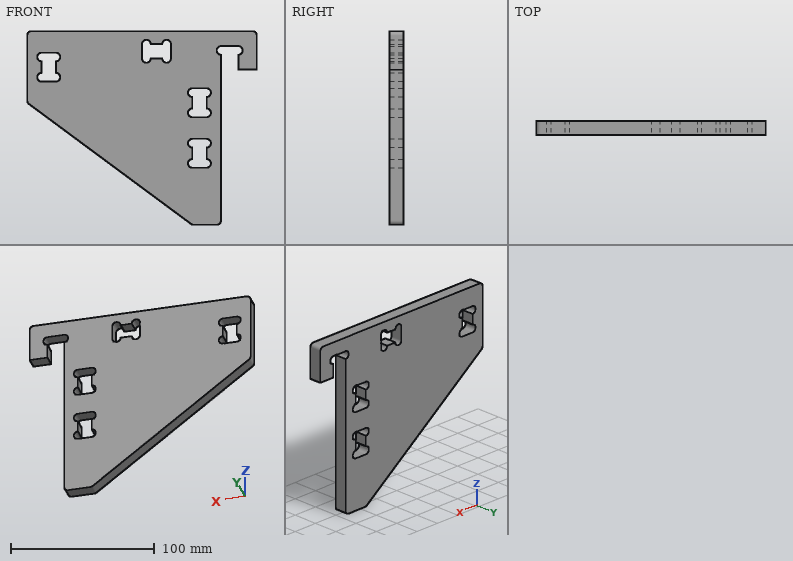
import cadquery as cq

LENGTH = 160.0
HEIGHT = 135.0
THICKNESS = 10.0
CORNER_RADIUS = 3.0

LEFT_EDGE_HEIGHT = 50.0
BODY_WIDTH = 135.0
SLOPE_FOOT_X = 115.0

HOOK_GAP = 12.0
HOOK_DEPTH = 26.9
HOOK_GAP_TOP = 10.5

RELIEF_DIAMETER = 6.0
SLOT_LENGTH = 20.0
SLOT_WIDTH = THICKNESS
VERTICAL_SLOT_CENTERS = [(15.0, -25.1), (120.0, -50.0), (120.0, -85.1)]
HORIZONTAL_SLOT_CENTER = (90.0, -14.0)


def extrude_through(sketch):
    """Extrude an XZ profile through the plate, toward +Y."""
    return sketch.extrude(-THICKNESS)


def make_plate():
    outline = [
        (0, 0),
        (LENGTH, 0),
        (LENGTH, -HOOK_DEPTH),
        (BODY_WIDTH, -HOOK_DEPTH),
        (BODY_WIDTH, -HEIGHT),
        (SLOPE_FOOT_X, -HEIGHT),
        (0, -LEFT_EDGE_HEIGHT),
    ]
    plate = extrude_through(cq.Workplane("XZ").polyline(outline).close())
    plate = plate.edges("|Y and (>Z or <Z or <X)").fillet(CORNER_RADIUS)
    return plate


def relief_bar(center_x, center_z, gap):
    """Round-ended bar whose end centers lie on the two sides of a gap."""
    bar = cq.Workplane("XZ").center(center_x, center_z).slot2D(gap + RELIEF_DIAMETER, RELIEF_DIAMETER)
    return extrude_through(bar)


def make_slot(center_x, center_z):
    """Upright slot with a relief bar at its top and its bottom."""
    slot = extrude_through(cq.Workplane("XZ").center(center_x, center_z).rect(SLOT_WIDTH, SLOT_LENGTH))
    relief_offset = (SLOT_LENGTH - RELIEF_DIAMETER) / 2
    for offset in (-relief_offset, relief_offset):
        slot = slot.union(relief_bar(center_x, center_z + offset, SLOT_WIDTH))
    return slot


def make_horizontal_slot(center_x, center_z):
    """The same slot, turned a quarter about Y."""
    slot = make_slot(0, 0).rotate((0, 0, 0), (0, 1, 0), 90)
    return slot.translate((center_x, 0, center_z))


def make_hook_gap():
    """Gap between body and hook, open at the bottom, with a relief bar at its top."""
    center_x = BODY_WIDTH + HOOK_GAP / 2
    gap_height = HOOK_DEPTH - HOOK_GAP_TOP
    center_z = -HOOK_GAP_TOP - gap_height / 2
    gap = extrude_through(cq.Workplane("XZ").center(center_x, center_z).rect(HOOK_GAP, gap_height))
    return gap.union(relief_bar(center_x, -HOOK_GAP_TOP - RELIEF_DIAMETER / 2, HOOK_GAP))


result = make_plate().cut(make_hook_gap())
for slot_x, slot_z in VERTICAL_SLOT_CENTERS:
    result = result.cut(make_slot(slot_x, slot_z))
result = result.cut(make_horizontal_slot(*HORIZONTAL_SLOT_CENTER))